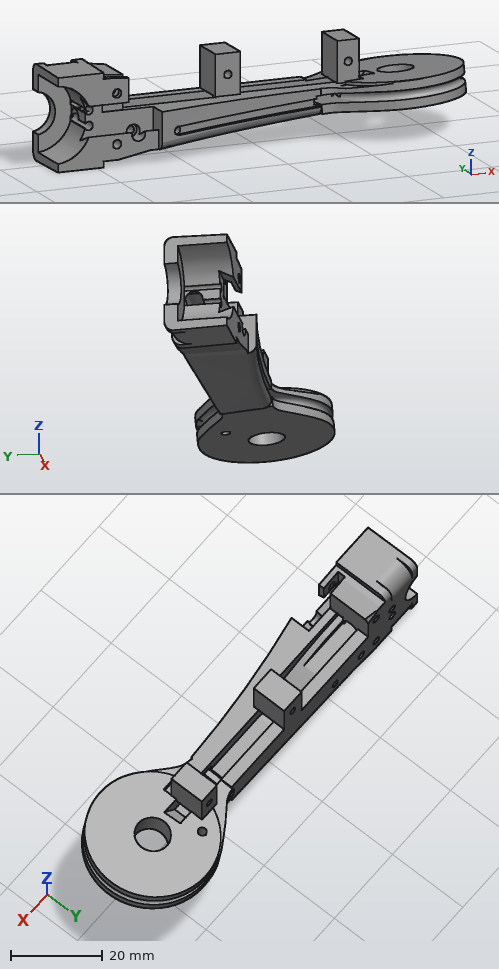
import cadquery as cq
import math


head_length = 10.9
roof_back_half_height = 11.0
roof_front_half_height = 10.7
head_front = -14.0
head_corner_radius = 2.1
shoulder_end = 16.9
shoulder_half_height = 9.3
shoulder_flat_end = 12.6
shoulder_tip_half_height = 8.9
web_slope_start, web_slope_end = 14.4, 22.1
shoulder_bevel_start = 14.0
shoulder_bevel_width = 0.9
back_plate = 3.0
bore_center_x = -0.8
bore_radius = 8.8
bore_flat_x = 7.8
plate_hole_radius = 4.9
relief_start = 1.8
relief_end = 8.8
relief_radius = 4.2

dovetail_floor = -10.9
dovetail_inner_half = 4.9
dovetail_outer_half = 3.5
lip_slot_start = 11.9
lip_slot_back, lip_slot_front = -10.7, -12.6

pin_diameter = 2.0
pin_x, pin_z = 8.6, 1.8
screw_x, screw_z = 14.1, 5.8
cord_diameter = 1.8
cord_x, cord_z = 28.2, -4.0
anchor_x, anchor_z = 19.3, -4.0
anchor_bore_diameter = 3.2
anchor_bore_depth = 5.0
post_hole_diameter = 1.8
hole_tilt = -3.0
hole_lead_in = 5.0

arm_start = 24.0
arm_end = 63.9
arm_top = 1.0
arm_bottom_start = -7.9
arm_bottom_end_back = -5.9
arm_bottom_end_front = -4.8
arm_front_start = -15.9
arm_front_mid = (41.7, -13.1)
arm_front_end = -11.4
arm_edge_radius = 2.0
cord_groove_depth = 1.0
cord_groove_start_y = -14.3
cord_groove_height = 2.0

channel_back = -3.0
channel_front = -7.3
channel_floor = -1.8
far_channel_floor = -2.5
ramp_start = 22.4
ramp_start_z = -0.7
ramp_mid = (30.2, channel_floor)
ramp_end_z = -4.2
ramp_front = -8.9
tunnel_diameter = 3.9
tunnel_center_z = -1.0
channel_ramp_start, channel_end = 74.7, 78.3
channel_end_top = 2.0

post_depth = 8.6
post_top = 10.6
post_hole_z = 5.8
near_post = (39.8, 45.8)
far_post = (69.0, 74.1)
far_post_clearance_front = -10.8

overall_length = 99.4
pulley_radius = 15.0
pulley_thickness = 6.4
pulley_bore = 8.0
rim_groove_diameter = 2.1
cord_gap_radius = 22.1
tilt_about_x = -5.3
tilt_about_y = -3.0
axis_lean = abs(math.sin(math.radians(tilt_about_y)) * math.cos(math.radians(tilt_about_x)))
pulley_reach = pulley_radius * math.sqrt(1 - axis_lean ** 2) + pulley_thickness / 2 * axis_lean
pulley_center = (overall_length - pulley_reach, -6.1, -1.0)
pulley_pin_offset = (-7.8, 7.7)
flare_drop = 0.1
flare_slope_end = (77.5, 2.7)
flare_back_points = [(68.4, 2.0), (74.0, 5.9)]
flare_front_points = [(74.1, -17.5), (68.4, -13.0)]

through = 39.7


def box(x0, x1, y0, y1, z0, z1):
    return cq.Workplane("XY").box(x1 - x0, y1 - y0, z1 - z0, centered=False).translate((x0, y0, z0))


def prism_along_y(points, y0, y1):
    """Outline of (x, z) points extruded from y0 to y1."""
    return cq.Workplane("XZ", origin=(0, y1, 0)).polyline(points).close().extrude(y1 - y0)


def cylinder_along_y(x, z, radius, y0, y1):
    return cq.Workplane("XZ", origin=(x, y1, z)).circle(radius).extrude(y1 - y0)


def tilted_hole(x, z, diameter, length):
    """Hole from the front face of the head, sloping down towards the back."""
    hole = cylinder_along_y(x, 0, diameter / 2, -hole_lead_in, length)
    return hole.rotate((0, 0, 0), (1, 0, 0), hole_tilt).translate((0, head_front, z))


def make_head():
    section = (
        cq.Workplane("YZ")
        .polyline([
            (0, -roof_back_half_height), (0, roof_back_half_height),
            (head_front, roof_front_half_height), (head_front, -roof_front_half_height),
        ])
        .close()
    )
    envelope = section.extrude(arm_start)
    deep_round = envelope.edges("|X and >Y").fillet(relief_radius)
    envelope = envelope.edges("|X and >Y").fillet(head_corner_radius)
    relief_zone = box(relief_start, relief_end, head_front, 0, -through, through)
    envelope = envelope.cut(relief_zone).union(deep_round.intersect(relief_zone))

    side = prism_along_y(
        [
            (0, -through), (0, through), (head_length, through),
            (head_length, shoulder_half_height), (shoulder_flat_end, shoulder_half_height),
            (shoulder_end, shoulder_tip_half_height), (shoulder_end, arm_top), (arm_start, arm_top),
            (arm_start, arm_bottom_start), (web_slope_end, arm_bottom_start),
            (web_slope_start, -shoulder_half_height), (head_length, -shoulder_half_height),
            (head_length, -through),
        ],
        head_front, 0,
    )
    return envelope.intersect(side).cut(shoulder_bevel_cut())


def shoulder_bevel_cut():
    """45-degree bevel on the back edge of the upper shoulder, running out towards the head."""
    length = shoulder_end - shoulder_bevel_start
    bevel = (
        cq.Workplane("YZ", origin=(shoulder_bevel_start, 0, shoulder_tip_half_height))
        .polyline([(0, 0), (head_front, -head_front), (-head_front, -head_front), (-head_front, head_front)])
        .close()
        .extrude(2 * length)
    )
    swing = -math.degrees(math.atan2(shoulder_bevel_width, length))
    bevel = bevel.rotate((shoulder_bevel_start, 0, 0), (shoulder_bevel_start, 0, 1), swing)
    return bevel.intersect(box(shoulder_bevel_start, shoulder_end, head_front, 0, arm_top, through))


def bore_cut():
    bore = cylinder_along_y(bore_center_x, 0, bore_radius, head_front, -back_plate)
    bore = bore.intersect(box(-through, bore_flat_x, -through, 0, -through, through))
    return bore.union(cylinder_along_y(bore_center_x, 0, plate_hole_radius, head_front, 0))


def dovetail_cut():
    dovetail = (
        cq.Workplane("YZ")
        .polyline([
            (dovetail_floor, -dovetail_inner_half), (dovetail_floor, dovetail_inner_half),
            (head_front, dovetail_outer_half), (head_front, -dovetail_outer_half),
        ])
        .close()
        .extrude(arm_start)
    )
    lip_slot = box(lip_slot_start, shoulder_end, lip_slot_front, lip_slot_back, arm_top, through)
    return dovetail.union(lip_slot)


def make_arm():
    plan = (
        cq.Workplane("XY", origin=(0, 0, arm_bottom_start))
        .moveTo(arm_start, 0)
        .lineTo(arm_start, arm_front_start)
        .threePointArc(arm_front_mid, (arm_end, arm_front_end))
        .lineTo(arm_end, 0)
        .close()
        .extrude(arm_top - arm_bottom_start)
    )
    twist = (
        cq.Workplane("YZ", origin=(arm_start, 0, 0))
        .polyline([(0, arm_top), (0, arm_bottom_start),
                   (arm_front_start, arm_bottom_start), (arm_front_start, arm_top)])
        .close()
        .workplane(offset=arm_end - arm_start)
        .polyline([(0, arm_top), (0, arm_bottom_end_back),
                   (arm_front_start, arm_bottom_end_front), (arm_front_start, arm_top)])
        .close()
        .loft(ruled=True)
    )
    arm = plan.intersect(twist)
    lower_front = cq.selectors.NearestToPointSelector((*arm_front_mid, arm_bottom_start))
    return arm.edges(lower_front).fillet(arm_edge_radius)


def cord_groove_cut():
    """Groove along the front side of the arm, rising towards the pulley."""
    strip = (
        cq.Workplane("XY", origin=(0, 0, -cord_groove_height / 2))
        .moveTo(cord_x, -through)
        .lineTo(cord_x, cord_groove_start_y)
        .threePointArc((arm_front_mid[0], arm_front_mid[1] + cord_groove_depth),
                       (arm_end, arm_front_end + cord_groove_depth))
        .lineTo(arm_end, -through)
        .close()
        .extrude(cord_groove_height)
    )
    return strip.rotate((cord_x, 0, 0), (cord_x, 1, 0), tilt_about_y).translate((0, 0, cord_z))


def make_flare():
    """Smooth widening of the arm up to the two sides of the pulley disc."""
    center_x, center_y, _ = pulley_center

    def local(points):
        return [(x - center_x, y - center_y) for x, y in points]

    back = local([(arm_end, 0)] + flare_back_points) + [(0, pulley_radius)]
    front = [(0, -pulley_radius)] + local(flare_front_points + [(arm_end, arm_front_end)])
    return (
        cq.Workplane("XY", origin=(0, 0, -pulley_thickness / 2))
        .moveTo(*back[0])
        .spline(back[1:], tangents=[(1, 0), (1, 0)], includeCurrent=True)
        .lineTo(*front[0])
        .spline(front[1:], tangents=[(-1, 0), (-1, 0)], includeCurrent=True)
        .close()
        .extrude(pulley_thickness - flare_drop)
    )


def level_cylinder(radius, height, center=(0, 0)):
    """Cylinder centred on the middle plane of the untilted pulley."""
    return cq.Workplane("XY", origin=(0, 0, -height / 2)).center(*center).circle(radius).extrude(height)


def make_pulley():
    flare = place_on_tilt(make_flare()).cut(flare_top_cut())
    pulley = place_on_tilt(level_cylinder(pulley_radius, pulley_thickness)).union(flare)
    bore = level_cylinder(pulley_bore / 2, pulley_thickness)
    pin = level_cylinder(pin_diameter / 2, pulley_thickness, pulley_pin_offset)
    return pulley.cut(place_on_tilt(bore.union(pin)))


def flare_top_cut():
    """Slopes the top of the flare from the arm top up to the pulley top."""
    return prism_along_y(
        [(far_post[0], arm_top), flare_slope_end, (flare_slope_end[0], through), (far_post[0], through)],
        -through, 0,
    )


def rim_groove_cut():
    """Round groove in the rim, continued outwards as a flat gap for the cord."""
    ring = cq.Workplane(cq.Solid.makeTorus(pulley_radius, rim_groove_diameter / 2))
    gap = level_cylinder(cord_gap_radius, rim_groove_diameter)
    gap = gap.cut(level_cylinder(pulley_radius, rim_groove_diameter))
    return place_on_tilt(ring.union(gap))


def place_on_tilt(shape):
    shape = shape.rotate((0, 0, 0), (1, 0, 0), tilt_about_x)
    return shape.rotate((0, 0, 0), (0, 1, 0), tilt_about_y).translate(pulley_center)


def post_clearance_cut():
    """Room above the arm top level around the far post."""
    beside = box(arm_start, far_post[0], -through, 0, arm_top, through)
    under = box(far_post[0], far_post[1], far_post_clearance_front, 0, arm_top, through)
    return beside.union(under)


def channel_cut():
    tunnel = cq.Workplane("YZ").center((channel_back + channel_front) / 2, tunnel_center_z)
    tunnel = tunnel.circle(tunnel_diameter / 2).extrude(arm_start)
    tunnel = tunnel.intersect(box(bore_flat_x, arm_start, -through, 0, channel_floor, through))
    side_slot = box(pin_x, shoulder_end, ramp_front, channel_front, ramp_start_z, arm_top)
    near = box(shoulder_end, near_post[0], channel_front, channel_back, channel_floor, arm_top)
    ramp = (
        cq.Workplane("XZ", origin=(0, channel_back, 0))
        .moveTo(shoulder_end, arm_top)
        .lineTo(shoulder_end, ramp_start_z)
        .lineTo(ramp_start, ramp_start_z)
        .threePointArc(ramp_mid, (near_post[0], ramp_end_z))
        .lineTo(near_post[0], arm_top)
        .close()
        .extrude(channel_back - ramp_front)
    )
    far = prism_along_y(
        [(near_post[0], post_top), (near_post[0], ramp_end_z), (near_post[1], far_channel_floor),
         (channel_ramp_start, far_channel_floor), (channel_end, channel_end_top), (channel_end, post_top)],
        channel_front, channel_back,
    )
    return tunnel.union(side_slot).union(near).union(ramp).union(far)


def make_post(span):
    post = box(span[0], span[1], -post_depth, 0, arm_top, post_top)
    middle = (span[0] + span[1]) / 2
    return post.cut(cylinder_along_y(middle, post_hole_z, post_hole_diameter / 2, -post_depth, 0))


body = make_head().cut(bore_cut()).cut(dovetail_cut())
for side in (1, -1):
    for x, z in ((pin_x, pin_z), (screw_x, screw_z)):
        body = body.cut(cylinder_along_y(x, side * z, pin_diameter / 2, head_front, 0))
body = body.cut(tilted_hole(anchor_x, anchor_z, anchor_bore_diameter, anchor_bore_depth))
body = body.cut(tilted_hole(anchor_x, anchor_z, pin_diameter, through))

arm = make_arm().cut(cord_groove_cut()).cut(tilted_hole(cord_x, cord_z, cord_diameter, through))
pulley = make_pulley().cut(post_clearance_cut())

result = body.union(arm).union(pulley).cut(rim_groove_cut()).cut(channel_cut())
for span in (near_post, far_post):
    result = result.union(make_post(span))